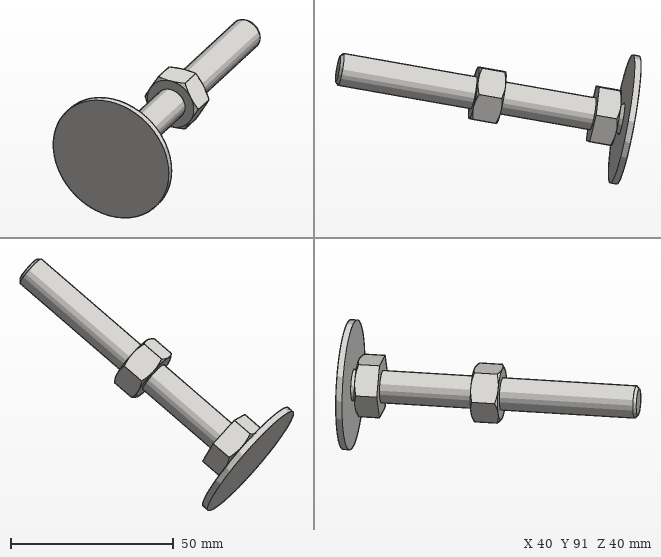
import cadquery as cq
import math

TOTAL_LENGTH = 91.0

PLATE_DIAMETER = 40.0
PLATE_THICKNESS = 2.0
BOSS_BASE_DIAMETER = 9.8
BOSS_TOP_DIAMETER = 6.8
BOSS_HEIGHT = 1.7

ROD_DIAMETER = 10.0
ROD_TIP_CHAMFER = 0.9
SPINDLE_HEX_FLATS = 17.0
SPINDLE_HEX_LENGTH = 7.3
SPINDLE_START = PLATE_THICKNESS + BOSS_HEIGHT

NUT_FLATS = 16.0
NUT_LENGTH = 8.55
NUT_START = 39.9

CORNER_CHAMFER_ANGLE = 30.0


def cylinder(diameter, start, length):
    """Cylinder along +Y from the given Y position."""
    return cq.Workplane("XZ", origin=(0, start, 0)).circle(diameter / 2).extrude(-length)


def revolve_about_y(profile):
    """Full turn of an XY profile, given as (radius, Y) points, about the Y axis."""
    return cq.Workplane("XY").polyline(profile).close().revolve(360, (0, 0, 0), (0, 1, 0))


def hexagon(flats, start, length, chamfer_far_end):
    """Hexagonal prism with corners on X, chamfered at its low-Y end and optionally at the other."""
    corner_diameter = flats / math.cos(math.radians(30))
    prism = cq.Workplane("XZ", origin=(0, start, 0)).polygon(6, corner_diameter).extrude(-length)

    face_radius = flats / 2
    corner_radius = corner_diameter / 2
    drop = (corner_radius - face_radius) * math.tan(math.radians(CORNER_CHAMFER_ANGLE))
    end = start + length
    profile = [(0, start), (face_radius, start), (corner_radius, start + drop)]
    if chamfer_far_end:
        profile += [(corner_radius, end - drop), (face_radius, end)]
    else:
        profile += [(corner_radius, end)]
    profile += [(0, end)]
    return prism.intersect(revolve_about_y(profile))


def make_foot_plate():
    """Round plate and conical boss, turned as one profile."""
    return revolve_about_y([
        (0, 0),
        (PLATE_DIAMETER / 2, 0),
        (PLATE_DIAMETER / 2, PLATE_THICKNESS),
        (BOSS_BASE_DIAMETER / 2, PLATE_THICKNESS),
        (BOSS_TOP_DIAMETER / 2, SPINDLE_START),
        (0, SPINDLE_START),
    ])


def make_spindle():
    """Plain rod with a chamfered tip and a hexagon resting on the boss."""
    rod = cylinder(ROD_DIAMETER, SPINDLE_START, TOTAL_LENGTH - SPINDLE_START)
    rod = rod.faces(">Y").chamfer(ROD_TIP_CHAMFER)
    return rod.union(hexagon(SPINDLE_HEX_FLATS, SPINDLE_START, SPINDLE_HEX_LENGTH, False))


def make_lock_nut():
    """Hexagon nut chamfered at both ends, bored to fit the rod."""
    nut = hexagon(NUT_FLATS, NUT_START, NUT_LENGTH, True)
    return nut.cut(cylinder(ROD_DIAMETER, NUT_START, NUT_LENGTH))


foot_plate = make_foot_plate()
spindle = make_spindle()
lock_nut = make_lock_nut()

result = cq.Compound.makeCompound([foot_plate.val(), spindle.val(), lock_nut.val()])